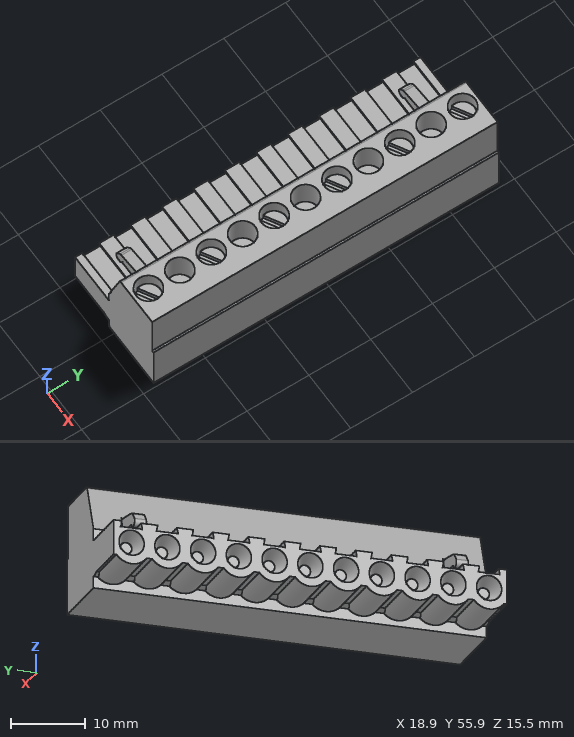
import cadquery as cq
import math

LENGTH = 55.9
DEPTH = 18.85
HEIGHT = 15.5
POSITIONS = 11
PITCH = LENGTH / POSITIONS

HOUSING_FRONT = 8.15
SLOPE_START_Z = 8.5
SLOPE_TOP_X = 10.8
TOP_EDGE_RADIUS = 0.35
BACK_STEP = 0.35
BACK_STEP_Z = 8.0

PLUG_TOP = 6.8
PLUG_BOTTOM = 0.85
SCALLOP_RADIUS = 2.75
GAP_Z = 1.9
ROOT_Z = 1.6
ROOT_LENGTH = 1.25
GROOVE_DEPTH = 0.85
GROOVE_MOUTH = 2.75
GROOVE_FLOOR = 3.1

SOCKET_Z = 3.85
SOCKET_MOUTH_D = 3.6
SOCKET_END_D = 1.6
SOCKET_DEPTH = 2.25

HOLE_X = 13.85
HOLE_D = 4.0
HOLE_DEPTH = 4.5
SCREW_D = 3.8
SCREW_RECESS = 1.95
SLOT_WIDTH = 0.85
SLOT_DEPTH = 0.65
SLOT_ANGLE = 30.0

LATCH_WIDTH = 1.7
LATCH_Y = LENGTH / 2 - PITCH
LATCH_ROOT_Z = 10.95
LATCH_BEND = (8.65, 10.6)
LATCH_NOSE = (4.6, 10.0)
LATCH_NOSE_RADIUS = 0.55
LATCH_FRONT = (3.7, 8.95)
LATCH_TIP = (4.15, 7.95)
LATCH_TIP_SIDE = (3.7, 8.2)
LATCH_HEEL = (4.6, 7.95)
LATCH_UNDERSIDE = (5.05, 8.45)

position_ys = [(i - (POSITIONS - 1) / 2) * PITCH for i in range(POSITIONS)]


def slope_x(z):
    """X of the sloped housing face at height z."""
    fraction = (z - SLOPE_START_Z) / (HEIGHT - SLOPE_START_Z)
    return HOUSING_FRONT + fraction * (SLOPE_TOP_X - HOUSING_FRONT)


def extrude_across(profile, width):
    """Extrude an XZ profile along Y, centred on Y = 0."""
    return profile.extrude(width / 2, both=True)


def make_housing():
    back_x = DEPTH - BACK_STEP
    profile = cq.Workplane("XZ").polyline([
        (HOUSING_FRONT, 0),
        (DEPTH, 0),
        (DEPTH, BACK_STEP_Z),
        (back_x, BACK_STEP_Z),
        (back_x, HEIGHT),
        (SLOPE_TOP_X, HEIGHT),
        (HOUSING_FRONT, SLOPE_START_Z),
    ]).close()
    block = extrude_across(profile, LENGTH)
    return block.edges(">Z").edges("<X").fillet(TOP_EDGE_RADIUS)


def make_plug():
    """Plug bar with a scalloped underside: one rounded lobe per position."""
    lobe_centre_z = PLUG_BOTTOM + SCALLOP_RADIUS
    half_lobe = math.sqrt(SCALLOP_RADIUS**2 - (lobe_centre_z - GAP_Z)**2)
    profile = cq.Workplane("YZ").moveTo(-LENGTH / 2, PLUG_TOP).lineTo(-LENGTH / 2, GAP_Z)
    for y in position_ys:
        profile = profile.lineTo(y - half_lobe, GAP_Z)
        profile = profile.threePointArc((y, PLUG_BOTTOM), (y + half_lobe, GAP_Z))
    profile = profile.lineTo(LENGTH / 2, GAP_Z).lineTo(LENGTH / 2, PLUG_TOP).close()
    return profile.extrude(HOUSING_FRONT)


def make_root_fillet():
    """Curved thickening where the gaps between the lobes run into the housing."""
    root_start = HOUSING_FRONT - ROOT_LENGTH
    root_drop = GAP_Z - ROOT_Z
    root_radius = (ROOT_LENGTH**2 + root_drop**2) / (2 * root_drop)
    profile = (
        cq.Workplane("XZ")
        .moveTo(root_start, GAP_Z)
        .hLineTo(HOUSING_FRONT)
        .vLineTo(ROOT_Z)
        .radiusArc((root_start, GAP_Z), root_radius)
        .close()
    )
    return extrude_across(profile, LENGTH)


def make_groove(y):
    """Undercut groove along the plug top, above one position."""
    floor_z = PLUG_TOP - GROOVE_DEPTH
    return cq.Workplane("YZ").polyline([
        (y - GROOVE_FLOOR / 2, floor_z),
        (y + GROOVE_FLOOR / 2, floor_z),
        (y + GROOVE_MOUTH / 2, PLUG_TOP),
        (y - GROOVE_MOUTH / 2, PLUG_TOP),
    ]).close().extrude(HOUSING_FRONT)


def make_socket(y):
    cone = cq.Solid.makeCone(
        SOCKET_MOUTH_D / 2,
        SOCKET_END_D / 2,
        SOCKET_DEPTH,
        pnt=cq.Vector(0, y, SOCKET_Z),
        dir=cq.Vector(1, 0, 0),
    )
    return cq.Workplane(cone)


def make_top_hole(y):
    floor = cq.Workplane("XY", origin=(HOLE_X, y, HEIGHT - HOLE_DEPTH))
    return floor.circle(HOLE_D / 2).extrude(HOLE_DEPTH)


def make_screw(y):
    """Slotted screw head standing on the floor of a top hole."""
    head_height = HOLE_DEPTH - SCREW_RECESS
    floor = cq.Workplane("XY", origin=(HOLE_X, y, HEIGHT - HOLE_DEPTH))
    head = floor.circle(SCREW_D / 2).extrude(head_height)
    slot = (
        cq.Workplane("XY")
        .rect(HOLE_D, SLOT_WIDTH)
        .extrude(-SLOT_DEPTH)
        .rotate((0, 0, 0), (0, 0, 1), SLOT_ANGLE)
        .translate((HOLE_X, y, HEIGHT - SCREW_RECESS))
    )
    return head.cut(slot)


def make_latch(y):
    """Hooked latch arm reaching forward from the sloped face."""
    root_x = slope_x(LATCH_ROOT_Z)
    profile = (
        cq.Workplane("XZ")
        .moveTo(root_x, LATCH_UNDERSIDE[1])
        .lineTo(*LATCH_UNDERSIDE)
        .lineTo(*LATCH_HEEL)
        .lineTo(*LATCH_TIP)
        .threePointArc(LATCH_TIP_SIDE, LATCH_FRONT)
        .lineTo(*LATCH_NOSE)
        .lineTo(*LATCH_BEND)
        .tangentArcPoint((root_x, LATCH_ROOT_Z), relative=False)
        .close()
    )
    arm = extrude_across(profile, LATCH_WIDTH)
    nose_x, nose_z = LATCH_NOSE
    arm = arm.edges(cq.NearestToPointSelector((nose_x, 0, nose_z))).fillet(LATCH_NOSE_RADIUS)
    return arm.translate((0, y, 0))


result = make_housing().union(make_plug()).union(make_root_fillet())

for y in position_ys:
    result = result.cut(make_groove(y)).cut(make_socket(y)).cut(make_top_hole(y))

for y in position_ys[::2]:
    result = result.union(make_screw(y))

for y in (-LATCH_Y, LATCH_Y):
    result = result.union(make_latch(y))